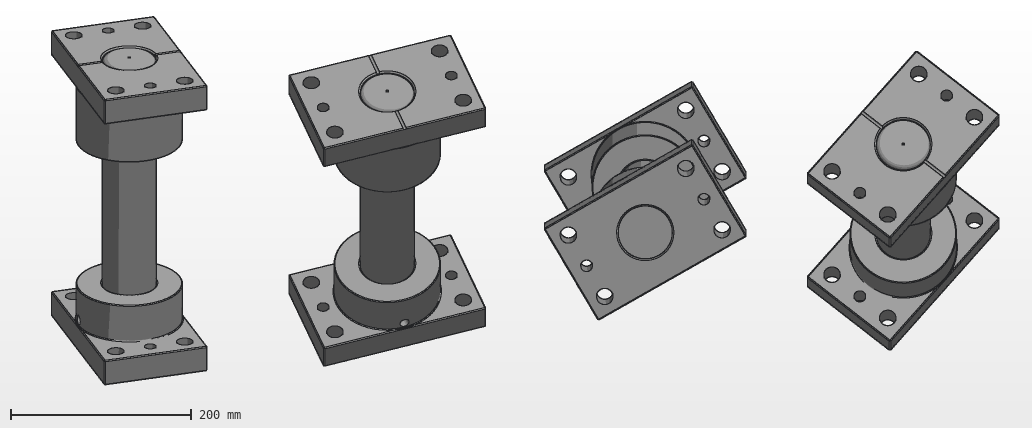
import cadquery as cq

total_height = 350.0

plate_length = 190.0
plate_width = 120.0
plate_thickness = 30.0
plate_chamfer = 1.22

hole_spacing_x = 150.0
hole_spacing_y = 80.0
bolt_hole_diameter = 18.2
dowel_hole_diameter = 13.0

collar_diameter = 118.0
collar_root_fillet = 1.0
collar_end_chamfer = 1.0
lower_collar_height = 44.0
upper_collar_height = 70.0

pillar_diameter = 60.0
pillar_top_radius = 6.3
pillar_protrusion = 0.7
bore_chamfer = 1.8
centre_hole_diameter = 2.8
centre_hole_depth = 3.5

groove_radius = 1.8

screw_hole_diameter = 10.5
screw_hole_lift = 7.5

upper_plate_top = total_height - pillar_protrusion


def make_plate():
    """Chamfered rectangular plate standing on Z = 0."""
    plate = cq.Workplane("XY").box(
        plate_length, plate_width, plate_thickness, centered=(True, True, False)
    )
    return plate.edges().chamfer(plate_chamfer)


def cut_mounting_holes(body):
    """Four bolt holes at the corners and two dowel holes on the X axis."""
    bolts = (
        cq.Workplane("XY")
        .rarray(hole_spacing_x, hole_spacing_y, 2, 2)
        .circle(bolt_hole_diameter / 2)
        .extrude(plate_thickness)
    )
    dowels = (
        cq.Workplane("XY")
        .rarray(hole_spacing_x, 3.5, 2, 1)
        .circle(dowel_hole_diameter / 2)
        .extrude(plate_thickness)
    )
    return body.cut(bolts).cut(dowels)


def make_collar(height):
    """Collar profile revolved about Z, with a fillet at the plate and a chamfer at the free end."""
    radius = collar_diameter / 2
    root = plate_thickness
    end = root + height
    return (
        cq.Workplane("XZ")
        .moveTo(0, root)
        .lineTo(radius + collar_root_fillet, root)
        .radiusArc((radius, root + collar_root_fillet), collar_root_fillet)
        .lineTo(radius, end - collar_end_chamfer)
        .lineTo(radius - collar_end_chamfer, end)
        .lineTo(0, end)
        .close()
        .revolve(360, (0, 0, 0), (0, 1, 0))
    )


def make_holder(collar_height):
    """Plate and collar with the pillar bore running through both, chamfered at each mouth."""
    holder = cut_mounting_holes(make_plate()).union(make_collar(collar_height))
    height = plate_thickness + collar_height
    radius = pillar_diameter / 2
    bore = (
        cq.Workplane("XZ")
        .moveTo(0, 0)
        .lineTo(radius + bore_chamfer, 0)
        .lineTo(radius, bore_chamfer)
        .lineTo(radius, height - bore_chamfer)
        .lineTo(radius + bore_chamfer, height)
        .lineTo(0, height)
        .close()
        .revolve(360, (0, 0, 0), (0, 1, 0))
    )
    return holder.cut(bore)


def make_lower_holder():
    """Holder with its plate at the bottom and a radial set-screw hole on the -Y side."""
    screw_hole = (
        cq.Workplane("XZ")
        .center(0, plate_thickness + screw_hole_lift)
        .circle(screw_hole_diameter / 2)
        .extrude(plate_width / 2)
    )
    return make_holder(lower_collar_height).cut(screw_hole)


def make_upper_holder():
    """Holder turned over so that its collar hangs down, with a half-round vent groove along Y."""
    holder = (
        make_holder(upper_collar_height)
        .rotate((0, 0, 0), (1, 0, 0), 180)
        .translate((0, 0, upper_plate_top))
    )
    groove = (
        cq.Workplane("XZ")
        .center(0, upper_plate_top)
        .circle(groove_radius)
        .extrude(plate_width / 2, both=True)
    )
    return holder.cut(groove)


def make_pillar():
    """Round pillar through both holders, with a rounded top edge and a small centre hole."""
    pillar = cq.Workplane("XY").circle(pillar_diameter / 2).extrude(total_height)
    pillar = pillar.faces(">Z").edges().fillet(pillar_top_radius)
    return pillar.faces(">Z").workplane().hole(centre_hole_diameter, centre_hole_depth)


lower_holder = make_lower_holder()
upper_holder = make_upper_holder()
pillar = make_pillar()

result = cq.Compound.makeCompound([lower_holder.val(), upper_holder.val(), pillar.val()])